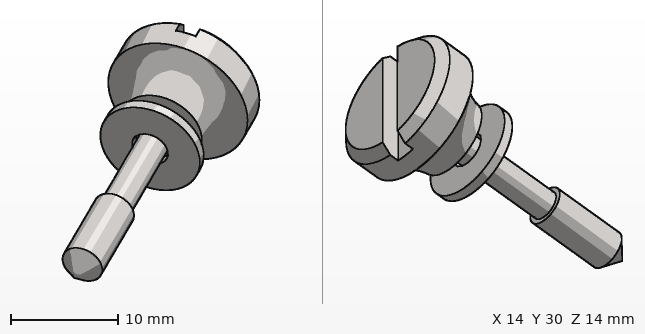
import cadquery as cq


head_diameter = 14.0
head_length = 8.0
head_chamfer = 1.0
grip_length = 4.0
neck_diameter = 8.0
flare_radius = 5.0

slot_width = 2.0
slot_depth = 2.0

shank_diameter = 3.0
shank_length = 12.0
thread_diameter = 4.0
thread_length = 8.0
point_length = thread_diameter / 2

washer_diameter = 10.0
washer_bore = 3.6
washer_thickness = 1.0
washer_gap = 2.0

head_top = head_length
grip_bottom = head_top - grip_length
thread_start = -shank_length
thread_end = thread_start - thread_length
tip = thread_end - point_length
washer_bottom = -washer_gap - washer_thickness


def make_screw():
    """Revolve the half profile (X is the radius) about Y, then cut the slot."""
    head_radius = head_diameter / 2
    neck_radius = neck_diameter / 2
    shank_radius = shank_diameter / 2
    thread_radius = thread_diameter / 2

    screw = (
        cq.Workplane("XY")
        .moveTo(0, head_top)
        .lineTo(head_radius - head_chamfer, head_top)
        .lineTo(head_radius, head_top - head_chamfer)
        .lineTo(head_radius, grip_bottom)
        .radiusArc((neck_radius, 0), -flare_radius)
        .lineTo(shank_radius, 0)
        .lineTo(shank_radius, thread_start)
        .lineTo(thread_radius, thread_start)
        .lineTo(thread_radius, thread_end)
        .lineTo(0, tip)
        .close()
        .revolve(360, (0, 0), (0, 1))
    )

    slot = (
        cq.Workplane("XY")
        .box(slot_width, slot_depth, head_diameter)
        .translate((0, head_top - slot_depth / 2, 0))
    )
    return screw.cut(slot)


def make_washer():
    """Flat ring coaxial with the screw, clear of the shank all round."""
    return (
        cq.Workplane("XZ", origin=(0, washer_bottom, 0))
        .circle(washer_diameter / 2)
        .circle(washer_bore / 2)
        .extrude(-washer_thickness)
    )


screw = make_screw()
washer = make_washer()

result = cq.Compound.makeCompound([screw.val(), washer.val()])